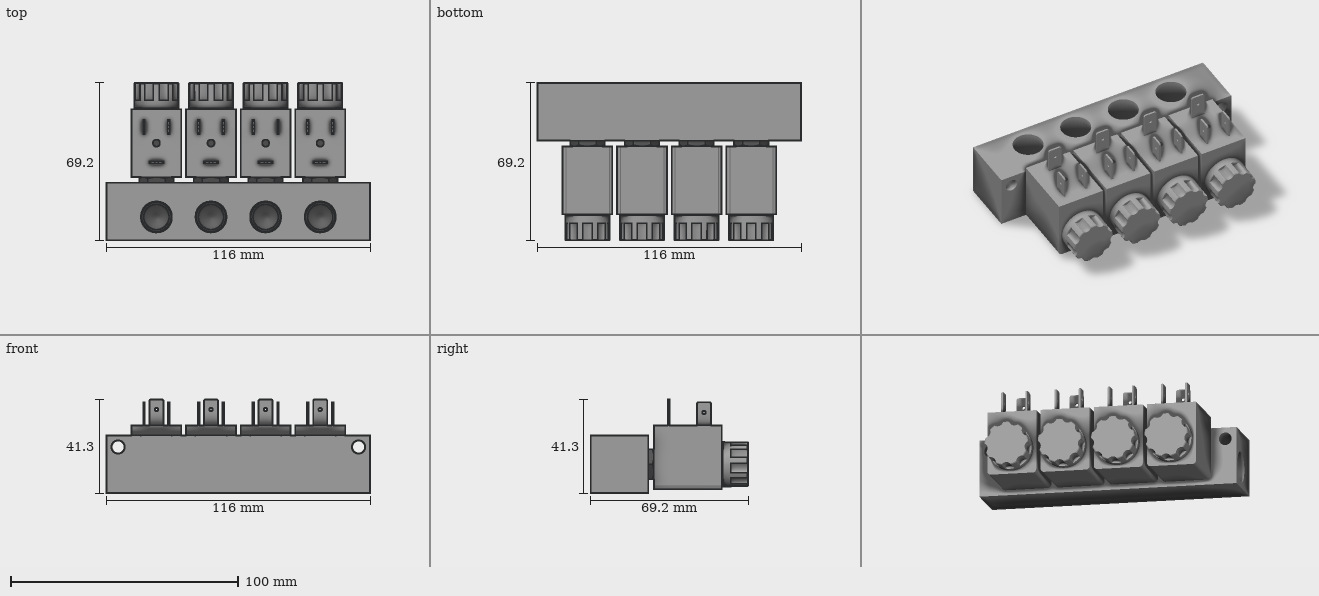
import cadquery as cq
import math


block_length = 116.0
block_side = 25.4
valve_count = 4
valve_pitch = 24.0
mount_hole_diameter = 5.7
mount_hole_edge = 5.1

port_mouth_diameter = 13.7
port_root_diameter = 13.0
port_depth = 11.6
drill_diameter = 11.1
drill_point_angle = 118.0
top_port_y = 10.3
end_port_y = 16.7
end_port_z = 9.4

axis_z = block_side / 2
nut_flats = 13.2
nut_thickness = 2.4
nut_chamfer_angle = 30.0

coil_width = 22.0
coil_length = 29.9
coil_top_z = 29.8
coil_bottom_z = axis_z - coil_width / 2
coil_edge_radius = 1.5
coil_hole_diameter = 3.1
coil_hole_depth = 4.6
coil_front_y = block_side + nut_thickness
coil_back_y = coil_front_y + coil_length
coil_hole_y = coil_front_y + coil_length / 2

neck_diameter = 13.3
neck_length = 0.5
knob_diameter = 19.6
knob_length = 11.0
knob_chamfer = 0.3
flute_count = 9
flute_length = 7.5
flute_radius = 2.5
flute_depth = 1.3

blade_width = 6.3
blade_thickness = 0.8
blade_corner = 0.6
blade_hole_diameter = 1.4
front_blade_height = 11.5
front_blade_hole_height = 7.0
front_blade_y = 34.3
side_blade_height = 10.2
side_blade_hole_height = 5.7
side_blade_y = 49.9
side_blade_offset = 5.5
blade_root = 1.2


def make_port():
    """Port cutter along +Z, with its mouth at the origin and its point at the far end."""
    drill_radius = drill_diameter / 2
    point_length = drill_radius / math.tan(math.radians(drill_point_angle / 2))
    return (
        cq.Workplane("XZ")
        .lineTo(port_mouth_diameter / 2, 0)
        .lineTo(port_root_diameter / 2, port_depth)
        .lineTo(drill_radius, port_depth)
        .lineTo(0, port_depth + point_length)
        .close()
        .revolve(360, (0, 0), (0, 1))
    )


def cylinder_along_y(diameter, start_y, length):
    """Cylinder on the valve axis, running towards +Y."""
    return (
        cq.Workplane("XZ", origin=(0, start_y, axis_z))
        .circle(diameter / 2)
        .extrude(-length)
    )


def make_block(valve_positions):
    block = cq.Workplane("XY").box(block_length, block_side, block_side, centered=(True, False, False))

    mount_x = block_length / 2 - mount_hole_edge
    mount_holes = (
        cq.Workplane("XZ", origin=(0, 0, block_side - mount_hole_edge))
        .pushPoints([(-mount_x, 0), (mount_x, 0)])
        .circle(mount_hole_diameter / 2)
        .extrude(-block_side)
    )
    block = block.cut(mount_holes)

    top_port = make_port().rotate((0, 0, 0), (1, 0, 0), 180)
    for x in valve_positions:
        block = block.cut(top_port.translate((x, top_port_y, block_side)))

    end_port = make_port().rotate((0, 0, 0), (0, 1, 0), 90)
    return block.cut(end_port.translate((-block_length / 2, end_port_y, end_port_z)))


def make_nut():
    """Hexagon with flats on top and underneath, its corners turned off towards the coil."""
    corner_diameter = nut_flats / math.cos(math.pi / 6)
    hexagon = (
        cq.Workplane("XZ", origin=(0, block_side, axis_z))
        .polygon(6, corner_diameter)
        .extrude(-nut_thickness)
    )
    chamfer_width = (corner_diameter - nut_flats) / 2
    chamfer_height = chamfer_width * math.tan(math.radians(nut_chamfer_angle))
    turned_blank = cylinder_along_y(corner_diameter, block_side, nut_thickness)
    turned_blank = turned_blank.faces(">Y").chamfer(chamfer_height, chamfer_width)
    return hexagon.intersect(turned_blank)


def make_coil():
    coil = (
        cq.Workplane("XY", origin=(0, coil_front_y, coil_bottom_z))
        .box(coil_width, coil_length, coil_top_z - coil_bottom_z, centered=(True, False, False))
        .edges("|Y and <Z")
        .fillet(coil_edge_radius)
    )
    screw_hole = (
        cq.Workplane("XY", origin=(0, coil_hole_y, coil_top_z))
        .circle(coil_hole_diameter / 2)
        .extrude(-coil_hole_depth)
    )
    return coil.cut(screw_hole)


def make_knob():
    """Round knob with concave grip flutes open at its outer end."""
    knob_start_y = coil_back_y + neck_length
    knob_end_y = knob_start_y + knob_length
    knob = cylinder_along_y(knob_diameter, knob_start_y, knob_length)
    knob = knob.faces(">Y").edges().chamfer(knob_chamfer)

    flute_center_radius = knob_diameter / 2 - flute_depth + flute_radius
    flutes = (
        cq.Workplane("XZ", origin=(0, knob_end_y, axis_z))
        .polarArray(flute_center_radius, -90, 360, flute_count)
        .circle(flute_radius)
        .extrude(flute_length)
    )
    neck = cylinder_along_y(neck_diameter, coil_back_y, neck_length)
    return knob.cut(flutes).union(neck)


def make_blade(height, hole_height):
    """Upright terminal facing Y, with its visible foot at the origin."""
    return (
        cq.Workplane("XY", origin=(0, 0, -blade_root))
        .box(blade_width, blade_thickness, height + blade_root, centered=(True, True, False))
        .edges("|Y and >Z")
        .chamfer(blade_corner)
        .cut(
            cq.Workplane("XZ", origin=(0, 0, hole_height))
            .circle(blade_hole_diameter / 2)
            .extrude(blade_thickness, both=True)
        )
    )


def make_valve():
    """One complete valve, centred on X = 0."""
    valve = make_nut().union(make_coil()).union(make_knob())
    front_blade = make_blade(front_blade_height, front_blade_hole_height)
    valve = valve.union(front_blade.translate((0, front_blade_y, coil_top_z)))

    side_blade = make_blade(side_blade_height, side_blade_hole_height).rotate((0, 0, 0), (0, 0, 1), 90)
    for x in (-side_blade_offset, side_blade_offset):
        valve = valve.union(side_blade.translate((x, side_blade_y, coil_top_z)))
    return valve


valve_positions = [(i - (valve_count - 1) / 2) * valve_pitch for i in range(valve_count)]

result = make_block(valve_positions)
valve = make_valve()
for x in valve_positions:
    result = result.union(valve.translate((x, 0, 0)))